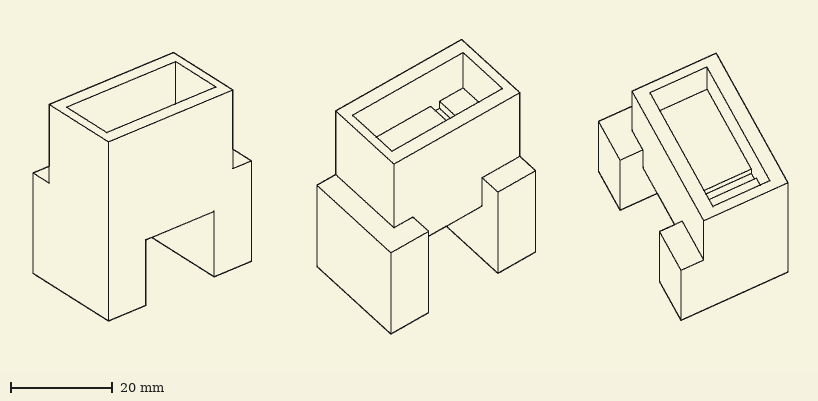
import cadquery as cq

total_width = 23.5
total_depth = 36.2
total_height = 41.0

housing_width = 18.5
housing_depth = 31.5
housing_left = total_width - housing_width

foot_depth = 9.45
foot_height = 23.0
housing_underside = 15.0

side_wall = 3.0
end_wall = 2.0
pocket_width = housing_width - 2 * side_wall
pocket_length = housing_depth - 2 * end_wall
pocket_depth = 10.0
pocket_left = housing_left + side_wall
pocket_floor = total_height - pocket_depth
back_wall_lean = 0.12

groove_start = 7.9
groove_width = 2.2
groove_depth = 2.0


def block(size_x, size_y, size_z, x, y, z):
    """Box with its lowest corner at (x, y, z)."""
    return cq.Workplane("XY").box(size_x, size_y, size_z, centered=False).translate((x, y, z))


def housing():
    height = total_height - housing_underside
    return block(housing_width, housing_depth, height, housing_left, 0, housing_underside)


def foot(y):
    return block(total_width, foot_depth, foot_height, 0, y, 0)


def pocket():
    """Pocket with a slightly leaning +Y wall, extruded along X from its Y-Z profile."""
    floor_end = end_wall + pocket_length
    profile = [
        (end_wall, pocket_floor),
        (floor_end, pocket_floor),
        (floor_end + back_wall_lean, total_height),
        (end_wall, total_height),
    ]
    return cq.Workplane("YZ", origin=(pocket_left, 0, 0)).polyline(profile).close().extrude(pocket_width)


def floor_groove():
    groove_bottom = pocket_floor - groove_depth
    return block(pocket_width, groove_width, groove_depth, pocket_left, groove_start, groove_bottom)


body = housing()
for foot_y in (0, total_depth - foot_depth):
    body = body.union(foot(foot_y))

result = body.cut(pocket()).cut(floor_groove())